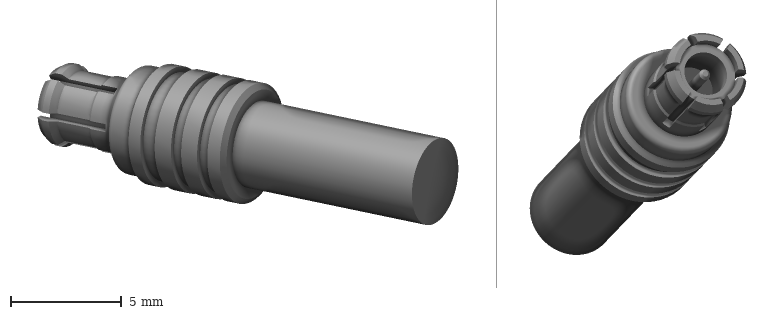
import cadquery as cq

total_length = 20.05

bump_radius = 1.9
neck_radius = 1.66
tip_radius = neck_radius
collar_radius = 3.49 / 2
finger_bore_radius = 1.4
bump_start = 0.4
bump_end = 0.75
neck_start = 1.05
neck_end = 2.73
collar_start = 2.85
slot_end = 3.65
slot_width = 0.38
slot_count = 6

grip_start = 4.2
first_rib_start = 5.31
grip_end = 10.55
nose_radius = 5.03 / 2
nose_fillet = 0.26
rib_radius = 5.57 / 2
rib_bevel_length = 0.2
groove_spans = [(6.14, 6.9), (7.75, 8.3), (9.15, 9.68)]

sleeve_radius = 4.0 / 2

core_start = 0.5
core_end = slot_end
core_radius = finger_bore_radius
cup_radius = 2.03 / 2
cup_floor = 2.6
pin_radius = 0.5 / 2
pin_tip = 0.52
pin_chamfer = 0.12


def rod(start, end, radius):
    """Cylinder along X from start to end."""
    return cq.Workplane("YZ", origin=(start, 0, 0)).circle(radius).extrude(end - start)


def make_finger_tube():
    """Turned spring end with a snap bump, bored to take the core, before slotting."""
    tube = (
        cq.Workplane("XY")
        .moveTo(0, 0)
        .lineTo(0, tip_radius)
        .lineTo(bump_start, bump_radius)
        .lineTo(bump_end, bump_radius)
        .lineTo(neck_start, neck_radius)
        .lineTo(neck_end, neck_radius)
        .lineTo(collar_start, collar_radius)
        .lineTo(grip_start, collar_radius)
        .lineTo(grip_start, 0)
        .close()
        .revolve(360, (0, 0, 0), (1, 0, 0))
    )
    return tube.cut(rod(0, core_end, finger_bore_radius))


def make_grip():
    """Rounded nose and bevelled ribs, with the grooves turned down to the nose radius."""
    nose = rod(grip_start, first_rib_start, nose_radius).faces("<X").edges().fillet(nose_fillet)
    ribs = (
        cq.Workplane("XY")
        .moveTo(first_rib_start, 0)
        .lineTo(first_rib_start, nose_radius)
        .lineTo(first_rib_start + rib_bevel_length, rib_radius)
        .lineTo(grip_end - rib_bevel_length, rib_radius)
        .lineTo(grip_end, nose_radius)
        .lineTo(grip_end, 0)
        .close()
        .revolve(360, (0, 0, 0), (1, 0, 0))
    )
    for start, end in groove_spans:
        ribs = ribs.cut(rod(start, end, rib_radius).cut(rod(start, end, nose_radius)))
    return nose.union(ribs)


def cut_slots(tube):
    """Split the tube into fingers with slots evenly spaced around the axis."""
    for index in range(slot_count):
        slot = (
            cq.Workplane("XY")
            .box(slot_end, bump_radius, slot_width, centered=(False, False, True))
            .rotate((0, 0, 0), (1, 0, 0), index * 360 / slot_count)
        )
        tube = tube.cut(slot)
    return tube


def make_housing():
    fingers = cut_slots(make_finger_tube())
    sleeve = rod(grip_end, total_length, sleeve_radius)
    return fingers.union(make_grip()).union(sleeve)


def make_core():
    core = rod(core_start, core_end, core_radius)
    core = core.cut(rod(core_start, cup_floor, cup_radius))
    pin = rod(pin_tip, cup_floor, pin_radius).faces("<X").edges().chamfer(pin_chamfer)
    return core.union(pin)


housing = make_housing()
core = make_core()
result = cq.Compound.makeCompound([housing.solids().val(), core.solids().val()])